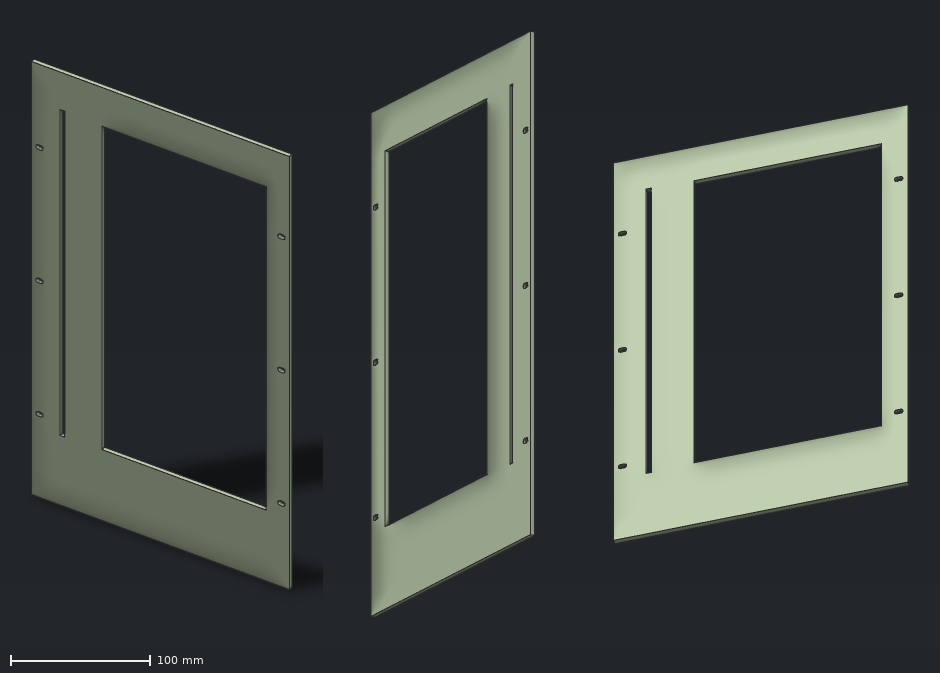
import cadquery as cq

plate_width = 220.0
plate_thickness = 4.0
plate_height = 381.0

opening_center_z = 14.0
window_width = 140.0
window_height = 284.2
window_center_x = 20.2
slit_width = 4.0
slit_height = 286.5
slit_center_x = -83.5

mount_slot_length = 6.0
mount_slot_width = 4.0
mount_edge_distance = 7.0
mount_pitch = 117.5
mounts_per_side = 3


def rectangular_opening(width, height, center_x):
    """Box that cuts a rectangular opening right through the plate."""
    box = cq.Workplane("XY").box(width, 2 * plate_thickness, height)
    return box.translate((center_x, 0, opening_center_z))


def mounting_slots():
    """Round-ended cutters for both columns of mounting slots."""
    column_spacing = plate_width - 2 * mount_edge_distance
    return (
        cq.Workplane("XZ")
        .rarray(column_spacing, mount_pitch, 2, mounts_per_side)
        .slot2D(mount_slot_length, mount_slot_width)
        .extrude(plate_thickness, both=True)
    )


plate = cq.Workplane("XY").box(plate_width, plate_thickness, plate_height)
window = rectangular_opening(window_width, window_height, window_center_x)
slit = rectangular_opening(slit_width, slit_height, slit_center_x)

result = plate.cut(window).cut(slit).cut(mounting_slots())